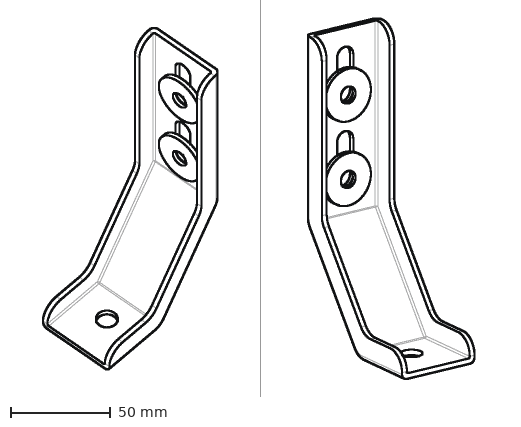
import cadquery as cq
import math

width = 45.0
depth = 83.0
height = 160.0

thickness = 3.0
flange_height = 14.0
upper_bend_z = 60.0
lower_bend_setback = 43.5
bend_radius = 10.0
tip_radius = 10.0
outer_edge_radius = 3.0
inner_edge_radius = 1.0
clearance = 8.0

slot_width = 10.0
slot_travel = 20.0
foot_hole_diameter = 11.0
foot_hole_y = 23.0

washer_diameter = 28.0
washer_hole_diameter = 9.0
washer_thickness = 2.5
washer_heights = [80.0, 125.0]

slope_angle = math.atan2(lower_bend_setback, upper_bend_z)
upper_miter = math.tan(slope_angle / 2)
lower_miter = math.tan((math.pi / 2 - slope_angle) / 2)


def bend_corners(offset):
    """Upper and lower bend corners of the path set inward from the outer faces."""
    upper = (depth - offset, upper_bend_z + offset * upper_miter)
    lower = (depth - lower_bend_setback - offset * lower_miter, offset)
    return upper, lower


def side_profile(outer_offset, inner_offset, overrun):
    """Closed outline between two offset paths, with its ends run on by the overrun."""
    upper_out, lower_out = bend_corners(outer_offset)
    upper_in, lower_in = bend_corners(inner_offset)
    points = [
        (depth - outer_offset, height + overrun),
        upper_out,
        lower_out,
        (-overrun, outer_offset),
        (-overrun, inner_offset),
        lower_in,
        upper_in,
        (depth - inner_offset, height + overrun),
    ]
    return cq.Workplane("YZ").polyline(points).close()


def edges_along_x(body, places):
    """Edges parallel to X that pass through the given (Y, Z) places."""
    picked = body.edges(cq.selectors.NearestToPointSelector((0, *places[0])))
    for place in places[1:]:
        picked = picked.add(body.edges(cq.selectors.NearestToPointSelector((0, *place))))
    return picked


def make_envelope():
    """Solid outer shape of the channel with bends and rounded long edges."""
    body = side_profile(0, flange_height, 0).extrude(width / 2, both=True)
    bends = [*bend_corners(0), *bend_corners(flange_height)]
    body = edges_along_x(body, bends).fillet(bend_radius)
    tips = [(depth - flange_height, height), (0, flange_height)]
    body = edges_along_x(body, tips).fillet(tip_radius)
    back_edges = body.faces(">Y").edges("|Z")
    return back_edges.fillet(outer_edge_radius)


def make_hollow():
    """Space between the flanges, with the floor bends and long floor edges slightly rounded."""
    inner_width = width - 2 * thickness
    body = side_profile(thickness, flange_height + clearance, clearance).extrude(inner_width / 2, both=True)
    body = edges_along_x(body, bend_corners(thickness)).fillet(inner_edge_radius)
    back_edges = body.faces(">Y").edges("|Z")
    return back_edges.fillet(inner_edge_radius)


def make_slot(bottom_z):
    """Cutter for an upright slot through the back plate."""
    return (
        cq.Workplane("XZ", origin=(0, depth + clearance, bottom_z + slot_travel / 2))
        .slot2D(slot_travel + slot_width, slot_width, 90)
        .extrude(thickness + 2 * clearance)
    )


def make_foot_hole():
    """Cutter for the round hole through the foot."""
    return (
        cq.Workplane("XY", origin=(0, foot_hole_y, 0))
        .circle(foot_hole_diameter / 2)
        .extrude(thickness)
    )


def make_bracket():
    body = make_envelope().cut(make_hollow()).cut(make_foot_hole())
    for z in washer_heights:
        body = body.cut(make_slot(z))
    return body


def make_washer(center_z):
    """Flat washer lying against the inside of the back plate."""
    return (
        cq.Workplane("XZ", origin=(0, depth - thickness, center_z))
        .circle(washer_diameter / 2)
        .circle(washer_hole_diameter / 2)
        .extrude(washer_thickness)
    )


bracket = make_bracket()
washers = [make_washer(z) for z in washer_heights]
result = cq.Compound.makeCompound([bracket.val(), *[washer.val() for washer in washers]])